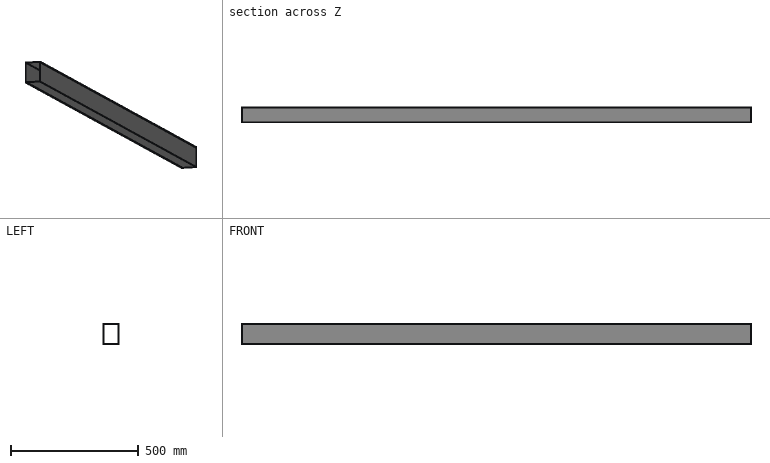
import cadquery as cq

length = 2000.0
width = 60.0
height = 80.0
wall = 1.75

bore_width = width - 2 * wall
bore_height = height - 2 * wall

section = cq.Workplane("YZ").rect(width, height).rect(bore_width, bore_height)

result = section.extrude(length / 2, both=True)